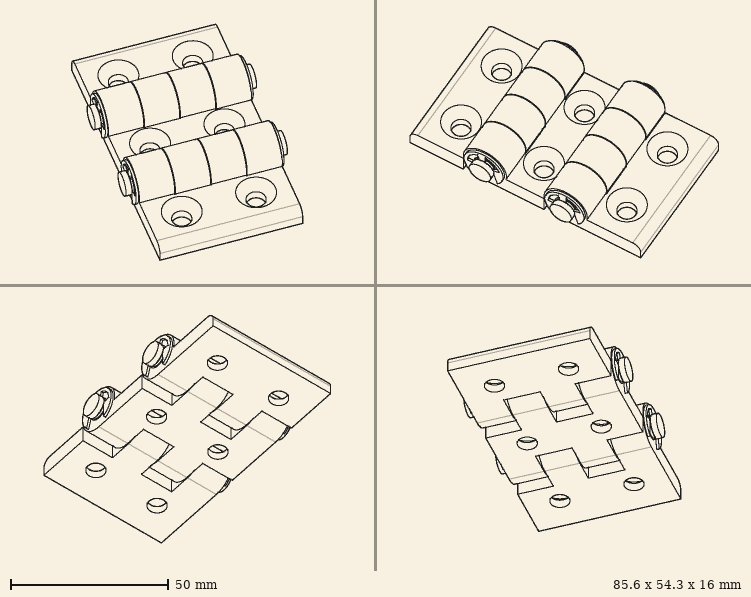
import cadquery as cq
import math


hinge_length = 85.6
leaf_width = 48.0
leaf_thickness = 6.25
edge_radius = 3.0

knuckle_diameter = 16.0
knuckle_radius = knuckle_diameter / 2
knuckle_count = 4
knuckle_gap = 0.25
knuckle_pitch = (leaf_width + knuckle_gap) / knuckle_count
knuckle_length = knuckle_pitch - knuckle_gap
axis_offset = 15.0
axis_height = knuckle_radius
outer_leaf_knuckles = range(1, knuckle_count, 2)
middle_leaf_knuckles = range(0, knuckle_count, 2)

hole_diameter = 6.4
countersink_diameter = 13.0
countersink_angle = 90.0
hole_offset_x = 30.7
hole_offset_y = 12.5

pin_diameter = 8.0
pin_length = 54.3
groove_diameter = 7.0
groove_width = 1.0

clip_thickness = 0.85
clip_outer_radius = 7.3
clip_inner_radius = groove_diameter / 2
window_radius = 6.0
clip_tilt = 8.5
clip_flare = 8.5
leg_edge_offset = 3.4
lug_edge_offset = 0.6


def cylinder_y(diameter, x, y_start, length):
    """Cylinder along +Y, centred on the hinge axis at x."""
    centre = cq.Vector(x, y_start, axis_height)
    return cq.Workplane(cq.Solid.makeCylinder(diameter / 2, length, centre, cq.Vector(0, 1, 0)))


def plate(x_start, x_end, y_start, y_end):
    """Flat block of leaf thickness standing on the mounting face."""
    return (
        cq.Workplane()
        .box(x_end - x_start, y_end - y_start, leaf_thickness, centered=False)
        .translate((x_start, y_start, 0))
    )


def add_knuckles(leaf, axis_x, plate_edge_x, numbers):
    """Join knuckles on one axis to a plate whose edge lies at plate_edge_x, and bore them."""
    for number in numbers:
        y_start = -leaf_width / 2 + number * knuckle_pitch
        arm = plate(min(axis_x, plate_edge_x), max(axis_x, plate_edge_x), y_start, y_start + knuckle_length)
        leaf = leaf.union(arm)
        leaf = leaf.union(cylinder_y(knuckle_diameter, axis_x, y_start, knuckle_length))
    return leaf.cut(cylinder_y(pin_diameter, axis_x, -leaf_width / 2, leaf_width))


def cut_screw_holes(leaf, hole_x):
    """Two countersunk holes through the plate."""
    return (
        leaf.faces(">Z").workplane(origin=(0, 0, leaf_thickness))
        .pushPoints([(hole_x, -hole_offset_y), (hole_x, hole_offset_y)])
        .cskHole(hole_diameter, countersink_diameter, countersink_angle)
    )


def make_outer_leaf():
    """Leaf on the -X side, with a rounded outer top edge."""
    plate_edge_x = -axis_offset - knuckle_radius
    leaf = plate(-hinge_length / 2, plate_edge_x, -leaf_width / 2, leaf_width / 2)
    leaf = leaf.edges("<X and >Z").fillet(edge_radius)
    leaf = cut_screw_holes(leaf, -hole_offset_x)
    return add_knuckles(leaf, -axis_offset, plate_edge_x, outer_leaf_knuckles)


def make_middle_leaf():
    """Leaf between the two pins, with knuckles on both of its sides."""
    plate_edge_x = axis_offset - knuckle_radius
    leaf = plate(-plate_edge_x, plate_edge_x, -leaf_width / 2, leaf_width / 2)
    leaf = cut_screw_holes(leaf, 0)
    leaf = add_knuckles(leaf, -axis_offset, -plate_edge_x, middle_leaf_knuckles)
    return add_knuckles(leaf, axis_offset, plate_edge_x, outer_leaf_knuckles)


def make_pin(axis_x):
    """Pin with a clip groove just outside the leaves at each end."""
    pin = cylinder_y(pin_diameter, axis_x, -pin_length / 2, pin_length)
    for y_start in (-leaf_width / 2 - groove_width, leaf_width / 2):
        groove = cylinder_y(pin_diameter, axis_x, y_start, groove_width)
        groove = groove.cut(cylinder_y(groove_diameter, axis_x, y_start, groove_width))
        pin = pin.cut(groove)
    return pin


def clip_prism(points):
    """Prism as thick as the clip, from an outline in X and Z."""
    return cq.Workplane("XZ").polyline(points).close().extrude(-clip_thickness)


def clip_disc(radius):
    """Disc as thick as the clip."""
    return cq.Workplane("XZ").circle(radius).extrude(-clip_thickness)


def make_clip_blank():
    """Clip around the Y axis from y = 0 to its thickness, opening toward -Z."""
    flare_sine = math.sin(math.radians(clip_flare))
    flare_cosine = math.cos(math.radians(clip_flare))
    flare_tangent = flare_sine / flare_cosine
    reach = 2 * clip_outer_radius

    leg_x_at_axis = leg_edge_offset / flare_cosine
    half_mouth = clip_prism([
        (0, 0),
        (leg_x_at_axis, 0),
        (leg_x_at_axis + reach * flare_tangent, -reach),
        (0, -reach),
    ])

    lug_x_at_axis = lug_edge_offset / flare_cosine
    window = clip_prism([
        (0, 0),
        (lug_x_at_axis, 0),
        (lug_x_at_axis + reach * flare_tangent, reach),
        (reach * flare_cosine, reach),
        (reach * flare_cosine, reach * flare_sine),
    ]).intersect(clip_disc(window_radius))

    clip = clip_disc(clip_outer_radius).cut(clip_disc(clip_inner_radius))
    for cutout in (half_mouth, window):
        clip = clip.cut(cutout).cut(cutout.mirror("YZ"))
    return clip


def make_clips(axis_x):
    """Pair of clips on one pin, each resting against the end face of the leaves."""
    clip = make_clip_blank().rotate((0, 0, 0), (0, 1, 0), clip_tilt)
    back_clip = clip.translate((axis_x, leaf_width / 2, axis_height))
    return [back_clip.mirror("XZ"), back_clip]


left_leaf = make_outer_leaf()
middle_leaf = make_middle_leaf()
right_leaf = left_leaf.rotate((0, 0, 0), (0, 0, 1), 180)

pins = []
clips = []
for axis_x in (-axis_offset, axis_offset):
    pins.append(make_pin(axis_x))
    clips.extend(make_clips(axis_x))

bodies = [left_leaf, middle_leaf, right_leaf, *pins, *clips]
result = cq.Compound.makeCompound([body.solids().val() for body in bodies])